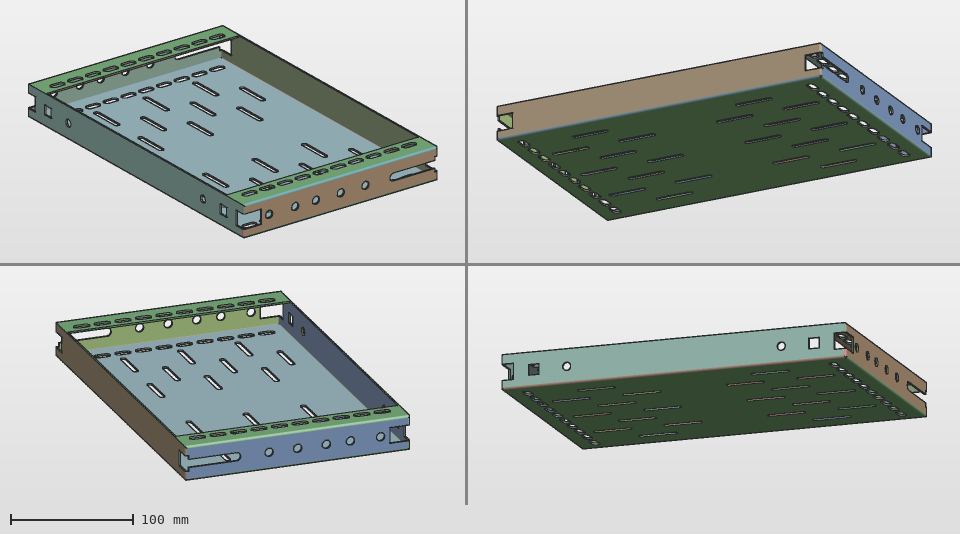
import cadquery as cq

LENGTH = 299.0
WIDTH = 196.5
HEIGHT = 30.0
SHEET = 1.5
BEND_RADIUS = 1.8
FLANGE_WIDTH = 25.0
MID_HEIGHT = HEIGHT / 2

OUTER_ROW_Y = 75.0
FLOOR_ROWS_EACH_SIDE = 3
ROW_PITCH = OUTER_ROW_Y / FLOOR_ROWS_EACH_SIDE

FLANGE_SLOT_LENGTH = 13.8
FLANGE_SLOT_WIDTH = 6.5
FLANGE_SLOT_PITCH = 18.0
FLANGE_SLOT_COUNT = 10
FLANGE_SLOT_X = 132.8
FLANGE_ROW_CENTRE_Y = 0.5

FLOOR_SLOT_LENGTH = 33.0
FLOOR_SLOT_WIDTH = 4.8
FLOOR_SLOT_X = 75.3
FLOOR_SLOT_STAGGER = 30.5

SQUARE_SIDE = 9.0
SQUARE_X = 121.5
FRONT_HOLE_DIAMETER = 7.0
FRONT_HOLE_X = 93.0

END_HOLE_DIAMETER = 7.2
END_HOLE_YS = [ROW_PITCH, 0, -ROW_PITCH, -46.0, -72.5]
END_SLOT_LENGTH = 48.5

NOTCH_HEIGHT = 13.8
FRONT_NOTCH_X = 10.5
FRONT_NOTCH_Y = 18.0
BACK_NOTCH_X = 15.0
BACK_NOTCH_Y = 3.0


def rounded_block(inset, radius):
    """Tray envelope shrunk by inset, with round upright corners, bottom edges and top end edges."""
    length = LENGTH - 2 * inset
    width = WIDTH - 2 * inset
    height = HEIGHT - 2 * inset
    block = cq.Workplane("XY").box(length, width, height)
    plan = block.edges("|Z").fillet(radius)
    long_profile = block.edges("|Y").fillet(radius)
    cross_profile = block.edges("|X and <Z").fillet(radius)
    return plan.intersect(long_profile).intersect(cross_profile).translate((0, 0, MID_HEIGHT))


def tray_shell():
    """Folded sheet tray with an inward flange along the top of each end wall."""
    cavity = rounded_block(SHEET, BEND_RADIUS - SHEET)
    top_opening = cq.Workplane("XY").workplane(offset=MID_HEIGHT).rect(
        LENGTH - 2 * FLANGE_WIDTH, WIDTH - 2 * SHEET
    ).extrude(HEIGHT)
    return rounded_block(0, BEND_RADIUS).cut(cavity).cut(top_opening)


def flange_slots():
    """Two rows of slots through the flanges and the floor."""
    row_span = FLANGE_SLOT_PITCH * (FLANGE_SLOT_COUNT - 1)
    ys = [FLANGE_ROW_CENTRE_Y - row_span / 2 + i * FLANGE_SLOT_PITCH for i in range(FLANGE_SLOT_COUNT)]
    centres = [(x, y) for x in (-FLANGE_SLOT_X, FLANGE_SLOT_X) for y in ys]
    return cq.Workplane("XY").pushPoints(centres).slot2D(
        FLANGE_SLOT_LENGTH, FLANGE_SLOT_WIDTH, 90
    ).extrude(HEIGHT)


def floor_slots():
    """Rows alternate between one slot and a pair of slots on each side."""
    centres = []
    for row in range(-FLOOR_ROWS_EACH_SIDE, FLOOR_ROWS_EACH_SIDE + 1):
        shifts = (0,) if row % 2 else (-FLOOR_SLOT_STAGGER, FLOOR_SLOT_STAGGER)
        for side in (-1, 1):
            for shift in shifts:
                centres.append((side * (FLOOR_SLOT_X + shift), row * ROW_PITCH))
    return cq.Workplane("XY").pushPoints(centres).slot2D(
        FLOOR_SLOT_LENGTH, FLOOR_SLOT_WIDTH
    ).extrude(MID_HEIGHT)


def front_openings():
    """Square and round holes through the -Y wall only."""
    wall = cq.Workplane("XZ", origin=(0, 0, MID_HEIGHT))
    squares = wall.pushPoints([(-SQUARE_X, 0), (SQUARE_X, 0)]).rect(
        SQUARE_SIDE, SQUARE_SIDE
    ).extrude(WIDTH)
    holes = wall.pushPoints([(-FRONT_HOLE_X, 0), (FRONT_HOLE_X, 0)]).circle(
        FRONT_HOLE_DIAMETER / 2
    ).extrude(WIDTH)
    return squares.union(holes)


def end_openings():
    """Round holes and an open-ended slot at +Y, in both end walls."""
    openings = cq.Workplane("XY")
    for end_x in (-LENGTH / 2, LENGTH / 2):
        wall = cq.Workplane("YZ", origin=(end_x, 0, MID_HEIGHT))
        holes = wall.pushPoints([(y, 0) for y in END_HOLE_YS]).circle(
            END_HOLE_DIAMETER / 2
        ).extrude(FRONT_NOTCH_X, both=True)
        slot = wall.center(WIDTH / 2, 0).slot2D(
            2 * END_SLOT_LENGTH, END_HOLE_DIAMETER
        ).extrude(FRONT_NOTCH_X, both=True)
        openings = openings.add(holes).add(slot)
    return openings.combine()


def corner_notches():
    """Rectangular notches wrapping round all four vertical corners at mid height."""
    notches = cq.Workplane("XY")
    front = (-WIDTH / 2, FRONT_NOTCH_X, FRONT_NOTCH_Y)
    back = (WIDTH / 2, BACK_NOTCH_X, BACK_NOTCH_Y)
    for corner_x in (-LENGTH / 2, LENGTH / 2):
        for corner_y, reach_x, reach_y in (front, back):
            notch = cq.Workplane("XY").box(2 * reach_x, 2 * reach_y, NOTCH_HEIGHT)
            notches = notches.add(notch.translate((corner_x, corner_y, MID_HEIGHT)))
    return notches.combine()


result = tray_shell()
for opening in (flange_slots(), floor_slots(), front_openings(), end_openings(), corner_notches()):
    result = result.cut(opening)